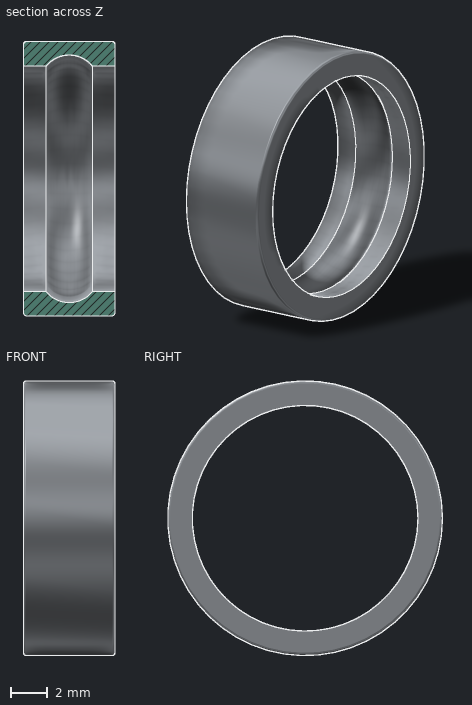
import cadquery as cq

outer_diameter = 15.0
bore_diameter = 12.3
width = 5.0
edge_radius = 0.15

groove_width = 2.52
groove_depth = 0.6

outer_radius = outer_diameter / 2
bore_radius = bore_diameter / 2
half_width = width / 2
half_groove = groove_width / 2


def ring_body():
    """Plain ring with rounded outer rims, centred on the origin."""
    end_plane = cq.Workplane("YZ", origin=(-half_width, 0, 0))
    blank = end_plane.circle(outer_radius).extrude(width)
    rounded = blank.edges("%CIRCLE").fillet(edge_radius)
    bore = end_plane.circle(bore_radius).extrude(width)
    return rounded.cut(bore)


def raceway():
    """Solid of revolution that cuts the groove into the bore."""
    return (
        cq.Workplane("XZ")
        .moveTo(-half_groove, 0)
        .lineTo(-half_groove, -bore_radius)
        .threePointArc((0, -bore_radius - groove_depth), (half_groove, -bore_radius))
        .lineTo(half_groove, 0)
        .close()
        .revolve(360, (0, 0, 0), (1, 0, 0))
    )


result = ring_body().cut(raceway())